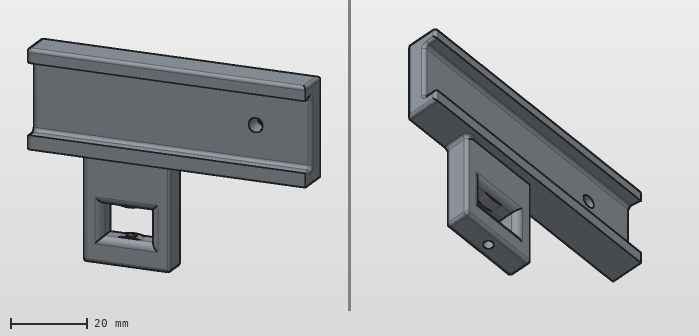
import cadquery as cq
import math

bar_length = 80.0
bar_depth = 10.0
bar_height = 28.0
lip_height = 4.0
channel_depth = 4.0
edge_radius = 1.0
pin_hole_diameter = 4.0
pin_hole_x = 64.0

arm_left = 15.0
arm_width = 25.0
arm_length = 30.0
arm_thickness = 7.4
arm_right_radius = 0.7
arm_front = bar_depth - arm_thickness
arm_center_x = arm_left + arm_width / 2
arm_center_y = bar_depth - arm_thickness / 2

window_width = 14.0
window_height = 9.0
window_center_z = -18.0
rim_radius = 2.0
ridge_width = 6.0
ridge_height = 0.5
cord_hole_diameter = 2.9

tolerance = 0.01


def box(x, y, z, length, depth, height):
    """Box with its minimum corner at (x, y, z)."""
    return cq.Workplane("XY").box(length, depth, height, centered=False).translate((x, y, z))


def edges_near(body, low, high):
    """Edges whose centers lie between two corner points."""
    return body.edges(cq.selectors.BoxSelector(low, high))


def rounding_section(y, corner_z, inward, radius):
    """Outline of what rounding removes from a lip corner at the right end."""
    bend = radius * (1 - math.sqrt(0.5))
    return (
        cq.Workplane("XZ", origin=(bar_length, y, corner_z))
        .lineTo(-radius, 0)
        .threePointArc((-bend, -inward * bend), (0, -inward * radius))
        .close()
        .wires()
        .val()
    )


def make_tapered_rounding(corner_z, inward, length):
    """Rounding cutter that shrinks from full radius to almost nothing at the front face."""
    front = rounding_section(0, corner_z, inward, tolerance)
    back = rounding_section(length, corner_z, inward, edge_radius)
    return cq.Workplane(cq.Solid.makeLoft([front, back], True))


def make_bar():
    bar = box(0, 0, 0, bar_length, bar_depth, bar_height)
    channel = box(0, 0, lip_height, bar_length, channel_depth, bar_height - 2 * lip_height)
    channel = channel.edges("|X and >Y").fillet(edge_radius)
    bar = bar.cut(channel)

    bar = bar.faces("<X").edges().add(bar.faces(">Z").edges()).fillet(edge_radius)

    low = (bar_length - tolerance, tolerance, lip_height - tolerance)
    high = (bar_length + tolerance, channel_depth + tolerance, bar_height - lip_height + tolerance)
    bar = edges_near(bar, low, high).fillet(edge_radius)

    lip_flat = channel_depth - edge_radius
    for corner_z, inward in ((lip_height, 1), (bar_height - lip_height, -1)):
        fill_z = corner_z - edge_radius if inward > 0 else corner_z
        fill = box(bar_length - edge_radius, 0, fill_z, edge_radius, lip_flat, edge_radius)
        bar = bar.union(fill).cut(make_tapered_rounding(corner_z, inward, lip_flat))

    pin_hole = (
        cq.Workplane("XZ")
        .center(pin_hole_x, bar_height / 2)
        .circle(pin_hole_diameter / 2)
        .extrude(-bar_depth)
    )
    return bar.cut(pin_hole)


def make_arm():
    arm = box(arm_left, arm_front, -arm_length, arm_width, arm_thickness, arm_length)
    arm = arm.edges("|Z and >X").fillet(arm_right_radius)
    return arm.edges("|Z and <X").add(arm.faces("<Z").edges()).fillet(edge_radius)


def flare_profile(center):
    """Concave quarter-round section between the arm side and the bar underside."""
    bend = edge_radius * math.sqrt(0.5)
    outer = 2 * edge_radius
    return (
        cq.Workplane("XZ", origin=center)
        .lineTo(-outer, 0)
        .threePointArc((-outer + bend, -edge_radius + bend), (-edge_radius, -edge_radius))
        .lineTo(0, -edge_radius)
        .close()
    )


def make_flare():
    """Concave fillet on the arm's left side, swept round its two rounded corners."""
    corner_x = arm_left + edge_radius
    front_corner = (corner_x, arm_front + edge_radius, 0)
    back_corner = (corner_x, bar_depth - edge_radius, 0)
    flare = flare_profile(front_corner).extrude(-(arm_thickness - 2 * edge_radius))
    for corner in (front_corner, back_corner):
        flare = flare.union(flare_profile(corner).revolve(360, (0, 0, 0), (0, 1, 0)))
    return flare.intersect(box(0, 0, -arm_length, bar_length, bar_depth, arm_length))


def make_window():
    return box(
        arm_center_x - window_width / 2, arm_front, window_center_z - window_height / 2,
        window_width, arm_thickness, window_height,
    )


def round_window_rims(body):
    for rim_y in (arm_front, bar_depth):
        low = (
            arm_center_x - window_width / 2 - tolerance,
            rim_y - tolerance,
            window_center_z - window_height / 2 - tolerance,
        )
        high = (
            arm_center_x + window_width / 2 + tolerance,
            rim_y + tolerance,
            window_center_z + window_height / 2 + tolerance,
        )
        body = edges_near(body, low, high).fillet(rim_radius)
    return body


def make_ridge(side):
    """Shallow arched ridge along Y on the flat of the window floor (-1) or ceiling (1)."""
    ridge_depth = arm_thickness - 2 * rim_radius
    base_z = window_center_z + side * window_height / 2
    return (
        cq.Workplane("XZ", origin=(arm_center_x, arm_front + rim_radius, base_z))
        .moveTo(-ridge_width / 2, 0)
        .threePointArc((0, -side * ridge_height), (ridge_width / 2, 0))
        .close()
        .extrude(-ridge_depth)
    )


def make_cord_hole():
    """Vertical hole from the window out through the bottom of the arm."""
    return (
        cq.Workplane("XY", origin=(arm_center_x, arm_center_y, -arm_length))
        .circle(cord_hole_diameter / 2)
        .extrude(arm_length + window_center_z)
    )


arm = round_window_rims(make_arm().cut(make_window()))
for side in (-1, 1):
    arm = arm.union(make_ridge(side))
arm = arm.cut(make_cord_hole())

result = make_bar().union(arm).union(make_flare())